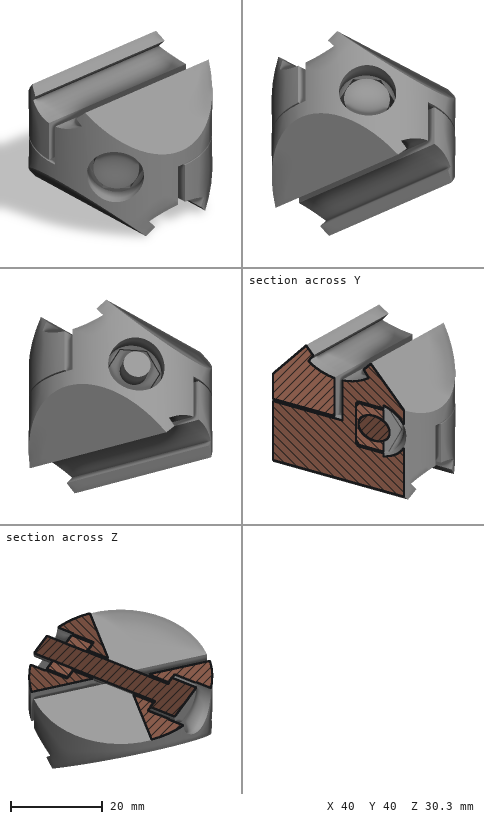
import cadquery as cq
import math


body_radius = 20.0
half_height = 30.3 / 2

lip_tip = 8.65
lip_face = 1.95
channel_edge = 8.0
channel_edge_z = 11.55
channel_bottom_z = 9.3
shoulder_z = half_height - (body_radius - lip_tip)

slot_half = 1.05
slit_half = 0.2

bore_radius = 3.35
seat_radius = 6.25
seat_floor = 15.3
pocket_floor = 10.1
pocket_flats = 10.5

shank_radius = 3.0
shank_length = 30.0
head_radius = 5.0
head_height = 6.0
nut_flats = 10.0
nut_thickness = seat_floor - pocket_floor

diagonal = math.sqrt(0.5)
bolt_direction = cq.Vector(diagonal, -diagonal, 0)


def axis_plane(distance):
    """Plane square to the bolt axis, with its local Y axis along world Z."""
    return cq.Plane(
        origin=(bolt_direction * distance).toTuple(),
        xDir=(diagonal, diagonal, 0),
        normal=bolt_direction.toTuple(),
    )


def rod(radius, start, length):
    return cq.Workplane(axis_plane(start)).circle(radius).extrude(length)


def hexagon(flats, start, length):
    """Hexagonal bar along the bolt axis with flats facing up and down."""
    across_corners = flats / math.cos(math.pi / 6)
    return cq.Workplane(axis_plane(start)).polygon(6, across_corners).extrude(length)


def block(x_min, x_max, y_min, y_max, z_min, z_max):
    size = (x_max - x_min, y_max - y_min, z_max - z_min)
    return cq.Workplane("XY").box(*size, centered=False).translate((x_min, y_min, z_min))


def channel_bar():
    """Endless bar along Y with sloping shoulders and the hooked channel on top."""
    lip_corner = (lip_tip - lip_face, half_height - lip_face)
    return (
        cq.Workplane("XZ")
        .moveTo(-body_radius, -half_height)
        .lineTo(body_radius, -half_height)
        .lineTo(body_radius, shoulder_z)
        .lineTo(lip_tip, half_height)
        .lineTo(*lip_corner)
        .lineTo(channel_edge, channel_edge_z)
        .threePointArc((0, channel_bottom_z), (-channel_edge, channel_edge_z))
        .lineTo(-lip_corner[0], lip_corner[1])
        .lineTo(-lip_tip, half_height)
        .lineTo(-body_radius, shoulder_z)
        .close()
        .extrude(body_radius, both=True)
    )


def clamp_blank():
    """Upright cylinder with the upper channel along Y and the lower channel along X."""
    upper = channel_bar()
    lower = channel_bar().rotate((0, 0, 0), (1, 0, 0), 180).rotate((0, 0, 0), (0, 0, 1), 90)
    cylinder = cq.Workplane("XY").circle(body_radius).extrude(half_height, both=True)
    return cylinder.intersect(upper).intersect(lower)


def make_jaw():
    """Upper +X half and lower -Y half, joined through the quadrant they share."""
    r = body_radius
    h = half_height
    upper_half = block(slot_half, r, -r, r, slit_half, h)
    lower_half = block(-r, r, -r, -slot_half, -h, -slit_half)
    bridge = block(slot_half, r, -r, -slot_half, -h, h)
    jaw = clamp_blank().intersect(upper_half.union(lower_half).union(bridge))
    jaw = jaw.cut(rod(bore_radius, -r, 2 * r))
    jaw = jaw.cut(hexagon(pocket_flats, pocket_floor, r - pocket_floor))
    return jaw.cut(rod(seat_radius, seat_floor, r - seat_floor))


def make_bolt():
    shank = rod(shank_radius, pocket_floor - shank_length, shank_length)
    head = rod(head_radius, pocket_floor, head_height)
    return shank.union(head)


def make_nut():
    nut = hexagon(nut_flats, -seat_floor, nut_thickness)
    return nut.cut(rod(shank_radius, -seat_floor, nut_thickness))


jaws = [make_jaw().rotate((0, 0, 0), (0, 0, 1), turn) for turn in (0, 180)]
bolt = make_bolt()
nut = make_nut()

result = cq.Compound.makeCompound([*[jaw.val() for jaw in jaws], bolt.val(), nut.val()])